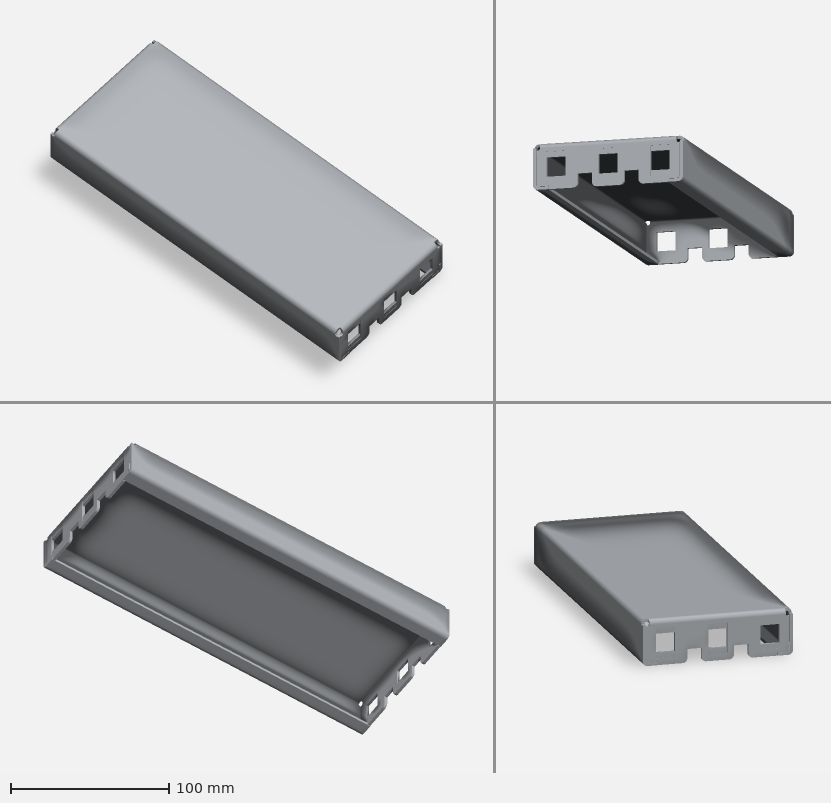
import cadquery as cq


total_length = 244.0
width = 99.0
height = 30.0
thickness = 2.0
bend_radius = 3.2
inner_bend_radius = bend_radius - thickness
end_inset = 0.2
fold_gap = 0.2
flange_width = 10.0

tab_projection = 0.5
tab_width = 1.2
tab_height = 6.0
tab_bottom = 2.2
tab_inset = 2.2
length = total_length - tab_projection

window_size = 12.5
window_pitch = 34.5
window_centre_z = 14.5
recess_height = 19.8
recess_depth = 0.2

slot_width = 9.5
slot_height = 9.0
slot_offset = 15.4
slot_corner_radius = 3.0

bend_trim = 4.6
end_relief_radius = 1.5
side_relief_radius = 0.7
side_relief_x = 2.2

fold_height = height - bend_radius
end_fold_x = end_inset + bend_radius
wall_centre_x = end_inset + thickness / 2
inner_width = width - 2 * thickness
end_wall_width = inner_width - 2 * fold_gap


def box(x, y, z, centre):
    """Axis-aligned box of the given size around a centre point."""
    return cq.Workplane("XY").box(x, y, z).translate(centre)


def both_ends(shape):
    """The shape of the -X end together with its mirror at the +X end."""
    return shape.union(shape.mirror("YZ", (length / 2, 0, 0)))


def rounded_bar(bar_length, bar_width, bar_height, radius):
    """Bar from x = 0 along X, centred on Y and mid-height, with rounded long edges."""
    bar = box(bar_length, bar_width, bar_height, (bar_length / 2, 0, height / 2))
    return bar.edges("|X").fillet(radius)


def make_side_relief(side):
    """Round cutter through one side wall, below the missing end of its top bend."""
    cutter = (
        cq.Workplane("XZ", origin=(0, side * (width - thickness) / 2, 0))
        .center(side_relief_x, fold_height)
        .circle(side_relief_radius)
        .extrude(thickness, both=True)
    )
    return cutter


def make_channel():
    """Top panel, side walls and bottom flanges, with the top bends cut back at the ends."""
    outer = rounded_bar(length, width, height, bend_radius)
    inner = rounded_bar(length, inner_width, height - 2 * thickness, inner_bend_radius)
    opening_width = width - 2 * flange_width
    opening = box(length, opening_width, 2 * thickness, (length / 2, 0, thickness))
    end_space = box(end_fold_x, width, bend_radius, (end_fold_x / 2, 0, height - bend_radius / 2))
    channel = outer.cut(inner).cut(opening).cut(both_ends(end_space))
    for side in (-1, 1):
        channel = channel.cut(both_ends(make_side_relief(side)))
    return channel


def make_end_wall():
    """The -X end wall with its bend up to the top panel."""
    bend_offset = bend_radius * 0.5**0.5
    inner_offset = inner_bend_radius * 0.5**0.5
    inner_x = end_inset + thickness
    wall = (
        cq.Workplane("XZ")
        .moveTo(end_inset, 0)
        .lineTo(end_inset, fold_height)
        .threePointArc((end_fold_x - bend_offset, fold_height + bend_offset), (end_fold_x, height))
        .lineTo(end_fold_x, height - thickness)
        .threePointArc((end_fold_x - inner_offset, fold_height + inner_offset), (inner_x, fold_height))
        .lineTo(inner_x, 0)
        .close()
        .extrude(end_wall_width / 2, both=True)
    )
    for side in (-1, 1):
        wall = cut_wall_corners(wall, side)
        wall = cut_slot(wall, side * slot_offset)
    for column in (-1, 0, 1):
        wall = cut_window(wall, column * window_pitch)
    return wall


def cut_wall_corners(wall, side):
    """Clear the bottom flange and the top corner on one side of the end wall."""
    notch_width = flange_width + fold_gap
    notch_height = thickness + fold_gap
    notch_y = side * (width - notch_width) / 2
    notch = box(2 * thickness, notch_width, notch_height, (wall_centre_x, notch_y, notch_height / 2))
    trim_y = side * (width - bend_trim) / 2
    trim = box(2 * end_fold_x, bend_trim, bend_radius, (0, trim_y, height - bend_radius / 2))
    relief = (
        cq.Workplane("YZ")
        .center(side * (width / 2 - bend_trim + end_relief_radius), fold_height)
        .circle(end_relief_radius)
        .extrude(end_fold_x)
    )
    return wall.cut(notch).cut(trim).cut(relief)


def cut_slot(wall, y):
    """Cable slot open at the bottom, its mouth flared by rounded corners."""
    half = slot_width / 2
    radius = slot_corner_radius
    offset = radius * (1 - 0.5**0.5)
    slot = (
        cq.Workplane("YZ")
        .moveTo(y - half - radius, 0)
        .threePointArc((y - half - offset, offset), (y - half, radius))
        .lineTo(y - half, slot_height)
        .lineTo(y + half, slot_height)
        .lineTo(y + half, radius)
        .threePointArc((y + half + offset, offset), (y + half + radius, 0))
        .close()
        .extrude(end_inset + thickness)
    )
    return wall.cut(slot)


def cut_window(wall, y):
    """Square window with a shallow outside recess above and below it."""
    window = box(2 * thickness, window_size, window_size, (wall_centre_x, y, window_centre_z))
    recess = box(2 * recess_depth, window_size, recess_height, (end_inset, y, window_centre_z))
    return wall.cut(window).cut(recess)


def make_tab():
    """Small raised tab on the outside of the +X end wall."""
    tab_length = tab_projection + end_inset + thickness
    tab_y = width / 2 - tab_inset - tab_width / 2
    tab_z = tab_bottom + tab_height / 2
    return box(tab_length, tab_width, tab_height, (total_length - tab_length / 2, tab_y, tab_z))


result = make_channel().union(both_ends(make_end_wall())).union(make_tab())